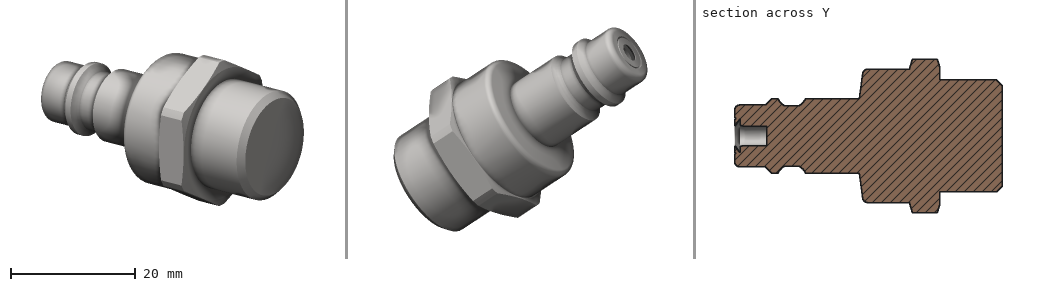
import cadquery as cq
import math

nose_diameter = 10.0
neck_diameter = 9.75
stem_diameter = 12.0
body_diameter = 21.5
body_face_diameter = 19.8
tail_diameter = 18.0

collar_start = 5.0
collar_end = 7.0
stem_start = 11.4
body_start = 20.0
body_rim = 20.5
hex_start = 28.1
hex_end = 33.0
length = 43.0

nose_fillet = 0.95
body_fillet_length = 1.0
collar_slope_length = 1.0
neck_slope_length = 1.05
neck_slope_sag = 0.15
tail_chamfer = 1.0

hex_flats = 22.0
hex_corner_diameter = 24.7
hex_bevel_diameter = 21.9
hex_bevel_length = 0.45

groove_mouth_diameter = 6.0
groove_floor_diameter = 5.6
plug_diameter = 5.45
groove_depth = 0.2

valve_hole_diameter = 3.0
lip_thickness = 0.1
chamber_diameter = 5.45
chamber_end = 0.95
lead_in_diameter = 3.3
lead_in_end = 1.65
valve_hole_depth = 5.15


def revolve_about_x(profile):
    return profile.close().revolve(360, (0, 0, 0), (1, 0, 0))


def make_turned_body():
    nose_radius = nose_diameter / 2
    neck_radius = neck_diameter / 2
    stem_radius = stem_diameter / 2
    body_radius = body_diameter / 2
    body_face_radius = body_face_diameter / 2
    tail_radius = tail_diameter / 2
    arc_offset = 1 - math.sqrt(0.5)
    profile = (
        cq.Workplane("XY")
        .lineTo(0, nose_radius - nose_fillet)
        .threePointArc(
            (nose_fillet * arc_offset, nose_radius - nose_fillet * arc_offset),
            (nose_fillet, nose_radius),
        )
        .lineTo(collar_start, nose_radius)
        .lineTo(collar_start + collar_slope_length, stem_radius)
        .lineTo(collar_end, stem_radius)
        .sagittaArc((collar_end + neck_slope_length, neck_radius), -neck_slope_sag)
        .lineTo(stem_start - neck_slope_length, neck_radius)
        .sagittaArc((stem_start, stem_radius), -neck_slope_sag)
        .lineTo(body_start, stem_radius)
        .lineTo(body_rim, body_face_radius)
        .threePointArc(
            (
                body_rim + body_fillet_length * arc_offset,
                body_radius - (body_radius - body_face_radius) * arc_offset,
            ),
            (body_rim + body_fillet_length, body_radius),
        )
        .lineTo(hex_start, body_radius)
        .lineTo(hex_start, tail_radius)
        .lineTo(length - tail_chamfer, tail_radius)
        .lineTo(length, tail_radius - tail_chamfer)
        .lineTo(length, 0)
    )
    return revolve_about_x(profile)


def make_hexagon():
    corner_radius = hex_corner_diameter / 2
    bevel_radius = hex_bevel_diameter / 2
    prism = (
        cq.Workplane("YZ", origin=(hex_start, 0, 0))
        .polygon(6, hex_flats, circumscribed=True)
        .extrude(hex_end - hex_start)
    )
    envelope = revolve_about_x(
        cq.Workplane("XY")
        .moveTo(hex_start, 0)
        .lineTo(hex_start, bevel_radius)
        .lineTo(hex_start + hex_bevel_length, corner_radius)
        .lineTo(hex_end - hex_bevel_length, corner_radius)
        .lineTo(hex_end, bevel_radius)
        .lineTo(hex_end, 0)
    )
    return prism.intersect(envelope)


def make_plug_groove():
    return revolve_about_x(
        cq.Workplane("XY")
        .moveTo(0, plug_diameter / 2)
        .lineTo(0, groove_mouth_diameter / 2)
        .lineTo(groove_depth, groove_floor_diameter / 2)
        .lineTo(groove_depth, plug_diameter / 2)
    )


def make_valve_hole():
    hole_radius = valve_hole_diameter / 2
    lead_in_radius = lead_in_diameter / 2
    return revolve_about_x(
        cq.Workplane("XY")
        .lineTo(0, hole_radius)
        .lineTo(lip_thickness, hole_radius)
        .lineTo(chamber_end, chamber_diameter / 2)
        .lineTo(chamber_end, lead_in_radius)
        .lineTo(lead_in_end, hole_radius)
        .lineTo(valve_hole_depth, hole_radius)
        .lineTo(valve_hole_depth, 0)
    )


result = make_turned_body().union(make_hexagon()).cut(make_plug_groove()).cut(make_valve_hole())